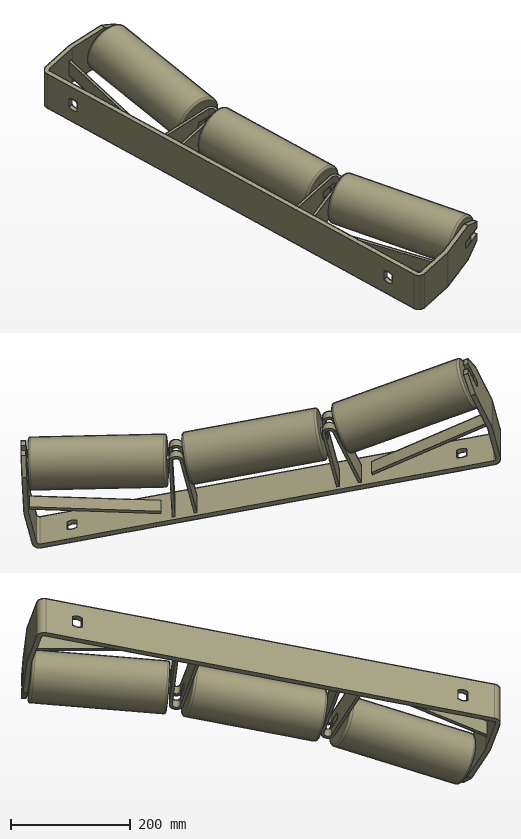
import cadquery as cq
import math

FRAME_LENGTH = 800.0
STRAP_HEIGHT = 80.0
STRAP_THICKNESS = 8.0
BEND_RADIUS = 13.0
WING_BEND_Y = 75.0
WING_ANGLE = 10.0
WING_LENGTH = 105.0
WING_TAPER_LENGTH = 32.0
WING_TIP_HEIGHT = 43.0
HALF_LENGTH = FRAME_LENGTH / 2

MOUNT_HOLE_X = 333.0
MOUNT_HOLE_HEIGHT = 26.0
MOUNT_HOLE_WIDTH = 17.0

ROLLER_DIAMETER = 89.0
ROLLER_LENGTH = 230.0
ROLLER_FILLET = 4.0
SHAFT_DIAMETER = 20.0
SHAFT_FLATS = 14.0
END_GAP = 4.0
WING_SHAFT_POSITION = 73.0
CENTER_ROLLER_Y = 102.0
CENTER_ROLLER_DROP = 6.8

BRACKET_THICKNESS = 5.0
BRACKET_TOP_Y = 127.0
BRACKET_HEIGHT = 50.0

GUSSET_THICKNESS = 5.0
GUSSET_HEIGHT = 32.0
GUSSET_TOP_Y = 70.0
GUSSET_ANGLE = 15.0

LEAN = math.radians(WING_ANGLE)
WING_UP = cq.Vector(math.sin(LEAN), math.cos(LEAN))
WING_INWARD = cq.Vector(math.cos(LEAN), -math.sin(LEAN))
WING_BEND = cq.Vector(-HALF_LENGTH, WING_BEND_Y)
WING_SHAFT_END = WING_BEND + WING_UP * WING_SHAFT_POSITION
ROLLER_SPAN = ROLLER_LENGTH + 2 * END_GAP
OUTER_SHAFT_LENGTH = STRAP_THICKNESS + ROLLER_SPAN + BRACKET_THICKNESS
CENTER_SHAFT_LENGTH = ROLLER_SPAN + 2 * BRACKET_THICKNESS
ROLLER_TILT = math.degrees(math.atan(CENTER_ROLLER_DROP / OUTER_SHAFT_LENGTH))


def points(vectors):
    return [(v.x, v.y) for v in vectors]


def plate(outline, height):
    """Extrude a closed XY outline evenly to both sides of mid-height."""
    return outline.extrude(height / 2, both=True)


def other_side(body):
    return body.mirror("YZ")


def place_outer(body):
    """Move a body built along +X from the origin onto the -X outer shaft axis."""
    tilted = body.rotate((0, 0, 0), (0, 1, 0), ROLLER_TILT)
    leaning = tilted.rotate((0, 0, 0), (0, 0, 1), -WING_ANGLE)
    return leaning.translate(WING_SHAFT_END)


def place_center(body):
    """Move a body built along +X from the origin onto the center shaft axis."""
    return body.translate((-CENTER_SHAFT_LENGTH / 2, CENTER_ROLLER_Y, -CENTER_ROLLER_DROP))


def flatted_shaft(start, length):
    """Round bar along +X with one flat above and one below."""
    end = cq.Workplane("YZ", origin=(start, 0, 0))
    between_flats = end.rect(SHAFT_DIAMETER, SHAFT_FLATS).extrude(length)
    return end.circle(SHAFT_DIAMETER / 2).extrude(length).intersect(between_flats)


def shaft_slot(start, length):
    """Cutter for a slot that fits the shaft and is open towards +Y."""
    opening = cq.Workplane("XY").box(length, WING_LENGTH, SHAFT_FLATS, centered=(False, False, True))
    return flatted_shaft(start, length).union(opening.translate((start, 0, 0)))


def make_roller(first_support, shaft_length):
    """Roller and shaft along +X; the shaft starts inside a support of the given thickness."""
    shell = (
        cq.Workplane("YZ", origin=(first_support + END_GAP, 0, 0))
        .circle(ROLLER_DIAMETER / 2)
        .extrude(ROLLER_LENGTH)
        .edges()
        .fillet(ROLLER_FILLET)
    )
    return shell.union(flatted_shaft(0, shaft_length))


def wing_taper():
    """Cutter that slopes the upper and lower corners of the -X wing towards its tip."""
    taper_start = WING_LENGTH - WING_TAPER_LENGTH
    wing_plane = cq.Plane(origin=WING_BEND.toTuple(), xDir=WING_UP.toTuple(), normal=WING_INWARD.toTuple())
    corners = cq.Workplane(wing_plane)
    for side in (-1, 1):
        edge = side * STRAP_HEIGHT / 2
        tip_edge = side * WING_TIP_HEIGHT / 2
        corners = corners.polyline([(taper_start, edge), (WING_LENGTH, edge), (WING_LENGTH, tip_edge)]).close()
    return corners.extrude(STRAP_THICKNESS)


def mount_hole(x):
    """Cutter through the base of the strap."""
    inner_face = cq.Workplane("XZ", origin=(x, STRAP_THICKNESS, 0))
    between_flats = inner_face.rect(MOUNT_HOLE_WIDTH, MOUNT_HOLE_HEIGHT).extrude(STRAP_THICKNESS)
    return inner_face.circle(MOUNT_HOLE_HEIGHT / 2).extrude(STRAP_THICKNESS).intersect(between_flats)


def make_strap():
    wing_tip = WING_BEND + WING_UP * WING_LENGTH
    inner_x = STRAP_THICKNESS - HALF_LENGTH
    inner_bend_y = WING_BEND_Y - STRAP_THICKNESS * math.tan(LEAN / 2)
    half_outline = [
        cq.Vector(0, 0),
        cq.Vector(-HALF_LENGTH, 0),
        WING_BEND,
        wing_tip,
        wing_tip + WING_INWARD * STRAP_THICKNESS,
        cq.Vector(inner_x, inner_bend_y),
        cq.Vector(inner_x, STRAP_THICKNESS),
        cq.Vector(0, STRAP_THICKNESS),
    ]
    half = plate(cq.Workplane("XY").polyline(points(half_outline)).close(), STRAP_HEIGHT)
    inner_radius = BEND_RADIUS - STRAP_THICKNESS
    for x, y, radius in (
        (-HALF_LENGTH, 0, BEND_RADIUS),
        (inner_x, STRAP_THICKNESS, inner_radius),
        (-HALF_LENGTH, WING_BEND_Y, BEND_RADIUS),
        (inner_x, inner_bend_y, inner_radius),
    ):
        half = half.edges(cq.selectors.NearestToPointSelector((x, y, 0))).fillet(radius)
    half = half.cut(wing_taper())
    half = half.cut(place_outer(shaft_slot(-STRAP_THICKNESS, 3 * STRAP_THICKNESS)))
    half = half.cut(mount_hole(-MOUNT_HOLE_X))
    return half.union(other_side(half))


def make_bracket():
    """Hairpin bracket on the -X side, standing on the base of the strap."""
    half_thickness = BRACKET_THICKNESS / 2
    upright_x = half_thickness - CENTER_SHAFT_LENGTH / 2
    leaning_mid = WING_SHAFT_END + WING_INWARD * (OUTER_SHAFT_LENGTH - half_thickness)

    mid_top_y = BRACKET_TOP_Y - half_thickness
    leaning_x_at_top = leaning_mid.x + (mid_top_y - leaning_mid.y) * math.tan(LEAN)
    bend_radius = (upright_x - leaning_x_at_top) * math.cos(LEAN) / (1 + math.cos(LEAN) - math.sin(LEAN))
    bend_center = cq.Vector(upright_x - bend_radius, mid_top_y - bend_radius)

    def on_bend(radius, angle):
        return (bend_center.x + radius * math.cos(angle), bend_center.y + radius * math.sin(angle))

    def leaning_foot(bend_point):
        x, y = bend_point
        return (x - (y - STRAP_THICKNESS) * math.tan(LEAN), STRAP_THICKNESS)

    bend_end = math.pi - LEAN
    bend_middle = bend_end / 2
    outer = bend_radius + half_thickness
    inner = bend_radius - half_thickness
    outline = (
        cq.Workplane("XY")
        .moveTo(upright_x + half_thickness, STRAP_THICKNESS)
        .lineTo(*on_bend(outer, 0))
        .threePointArc(on_bend(outer, bend_middle), on_bend(outer, bend_end))
        .lineTo(*leaning_foot(on_bend(outer, bend_end)))
        .lineTo(*leaning_foot(on_bend(inner, bend_end)))
        .lineTo(*on_bend(inner, bend_end))
        .threePointArc(on_bend(inner, bend_middle), on_bend(inner, 0))
        .lineTo(upright_x - half_thickness, STRAP_THICKNESS)
        .close()
    )
    bracket = plate(outline, BRACKET_HEIGHT).translate((0, 0, -CENTER_ROLLER_DROP))

    slot_length = 2 * outer
    upright_slot = place_center(shaft_slot(-outer, slot_length))
    leaning_slot = place_outer(shaft_slot(OUTER_SHAFT_LENGTH - outer, slot_length))
    return bracket.cut(upright_slot).cut(leaning_slot)


def make_gusset():
    """Sloping plate on the -X side: fitted to the end leg, with a square end standing on the base."""
    slope = math.radians(GUSSET_ANGLE)
    leg_x = STRAP_THICKNESS - HALF_LENGTH
    lower_y = GUSSET_TOP_Y - GUSSET_THICKNESS / math.cos(slope)
    foot = cq.Vector(leg_x + (lower_y - STRAP_THICKNESS) / math.tan(slope), STRAP_THICKNESS)
    square_end = foot + cq.Vector(math.sin(slope), math.cos(slope)) * GUSSET_THICKNESS
    outline = [cq.Vector(leg_x, GUSSET_TOP_Y), cq.Vector(leg_x, lower_y), foot, square_end]
    return plate(cq.Workplane("XY").polyline(points(outline)).close(), GUSSET_HEIGHT)


strap = make_strap()
center_roller = place_center(make_roller(BRACKET_THICKNESS, CENTER_SHAFT_LENGTH))
outer_roller = place_outer(make_roller(STRAP_THICKNESS, OUTER_SHAFT_LENGTH))
bracket = make_bracket()
gusset = make_gusset()

bodies = [strap, center_roller]
for side_body in (outer_roller, bracket, gusset):
    bodies += [side_body, other_side(side_body)]

result = cq.Compound.makeCompound([body.solids().val() for body in bodies])